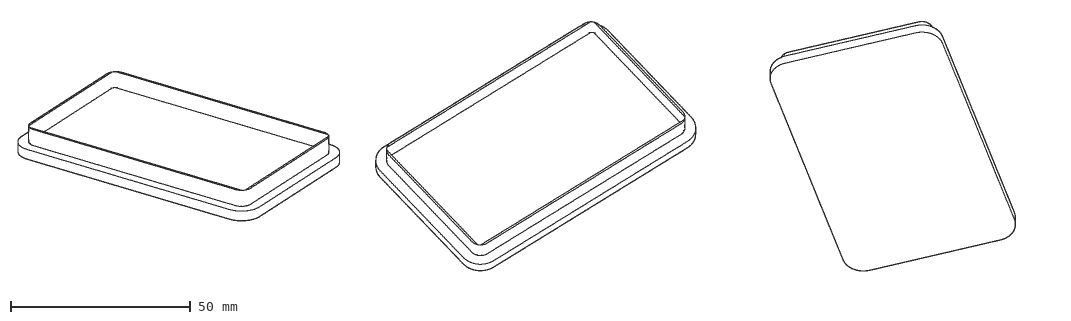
import cadquery as cq

length = 80.0
width = 50.0
total_height = 8.0
flange_height = 3.0
flange_corner_radius = 6.0

rim_inset = flange_corner_radius / 2
rim_wall = 0.6
rim_corner_radius = flange_corner_radius - rim_inset
rim_inner_radius = rim_corner_radius / 3


def rounded_slab(inset, corner_radius, bottom, top):
    """Rounded rectangle set in from the plate edge, between two heights."""
    return (
        cq.Workplane("XY", origin=(0, 0, bottom))
        .rect(length - 2 * inset, width - 2 * inset)
        .extrude(top - bottom)
        .edges("|Z")
        .fillet(corner_radius)
    )


flange = rounded_slab(0, flange_corner_radius, 0, flange_height)
rim_outer = rounded_slab(rim_inset, rim_corner_radius, 0, total_height)
rim_cavity = rounded_slab(rim_inset + rim_wall, rim_inner_radius, flange_height, total_height)

result = flange.union(rim_outer).cut(rim_cavity)